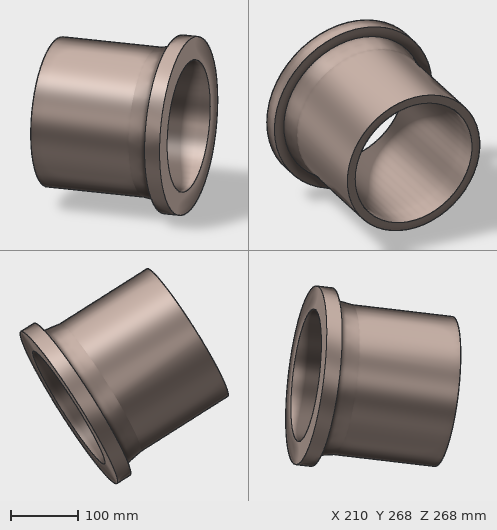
import cadquery as cq

total_length = 210.0
flange_diameter = 268.0
flange_thickness = 23.5
cone_length = 32.2
cone_diameter = 235.8
pipe_diameter = 225.0
bore_diameter = 198.3

flange_start = total_length - flange_thickness
cone_start = flange_start - cone_length

half_section = (
    cq.Workplane("XY")
    .moveTo(0, bore_diameter / 2)
    .lineTo(0, pipe_diameter / 2)
    .lineTo(cone_start, pipe_diameter / 2)
    .lineTo(flange_start, cone_diameter / 2)
    .lineTo(flange_start, flange_diameter / 2)
    .lineTo(total_length, flange_diameter / 2)
    .lineTo(total_length, bore_diameter / 2)
    .close()
)

result = half_section.revolve(360, (0, 0, 0), (1, 0, 0))